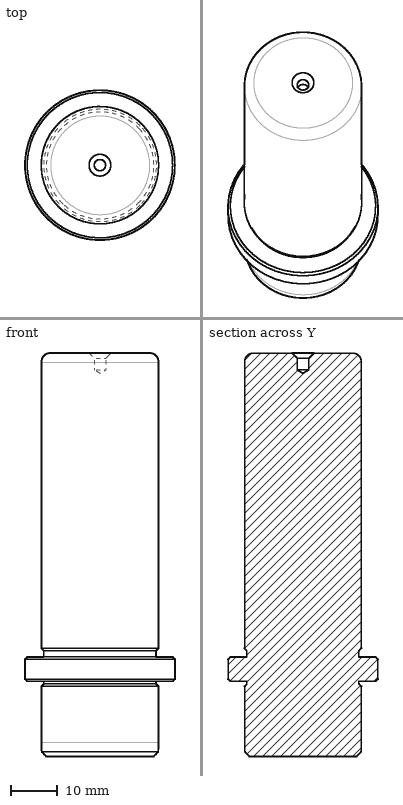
import cadquery as cq
import math

total_height = 86.0
body_diameter = 25.0
body_radius = body_diameter / 2
nose_fillet = 2.0

collar_radius = 16.0
collar_bottom = 16.0
collar_top = 21.2
collar_chamfer = 0.5

groove_depth = 0.5
groove_radius = body_radius - groove_depth
upper_groove_width = 1.8
lower_groove_width = 1.0

lead_height = 3.0
lead_taper = 0.05
base_chamfer = 1.0

centre_mouth_radius = 2.3
centre_drill_radius = 1.2
countersink_angle = 90.0
centre_drill_length = 2.5
drill_point_angle = 120.0


def cone_depth(radius_change, included_angle):
    """Axial length of a cone wall for a given change of radius."""
    return radius_change / math.tan(math.radians(included_angle / 2))


def make_pin():
    """Revolve the stepped outer profile, working up from the base."""
    lead_radius = body_radius - lead_taper
    body_bottom = collar_top + upper_groove_width
    profile = (
        cq.Workplane("XZ")
        .moveTo(0, 0)
        .lineTo(lead_radius - base_chamfer, 0)
        .lineTo(lead_radius, base_chamfer)
        .lineTo(body_radius, lead_height)
        .lineTo(body_radius, collar_bottom - lower_groove_width)
        .lineTo(groove_radius, collar_bottom - lower_groove_width + groove_depth)
        .lineTo(groove_radius, collar_bottom)
        .lineTo(collar_radius - collar_chamfer, collar_bottom)
        .lineTo(collar_radius, collar_bottom + collar_chamfer)
        .lineTo(collar_radius, collar_top - collar_chamfer)
        .lineTo(collar_radius - collar_chamfer, collar_top)
        .lineTo(groove_radius, collar_top)
        .lineTo(groove_radius, body_bottom - groove_depth)
        .lineTo(body_radius, body_bottom)
        .lineTo(body_radius, total_height)
        .lineTo(0, total_height)
        .close()
    )
    pin = profile.revolve(360, (0, 0), (0, 1))
    return pin.faces(">Z").edges().fillet(nose_fillet)


def make_centre_drilling():
    """Countersunk pilot hole with a conical bottom."""
    pilot_top = total_height - cone_depth(centre_mouth_radius - centre_drill_radius, countersink_angle)
    pilot_bottom = pilot_top - centre_drill_length
    tip = pilot_bottom - cone_depth(centre_drill_radius, drill_point_angle)
    return (
        cq.Workplane("XZ")
        .moveTo(0, total_height)
        .lineTo(centre_mouth_radius, total_height)
        .lineTo(centre_drill_radius, pilot_top)
        .lineTo(centre_drill_radius, pilot_bottom)
        .lineTo(0, tip)
        .close()
        .revolve(360, (0, 0), (0, 1))
    )


result = make_pin().cut(make_centre_drilling())